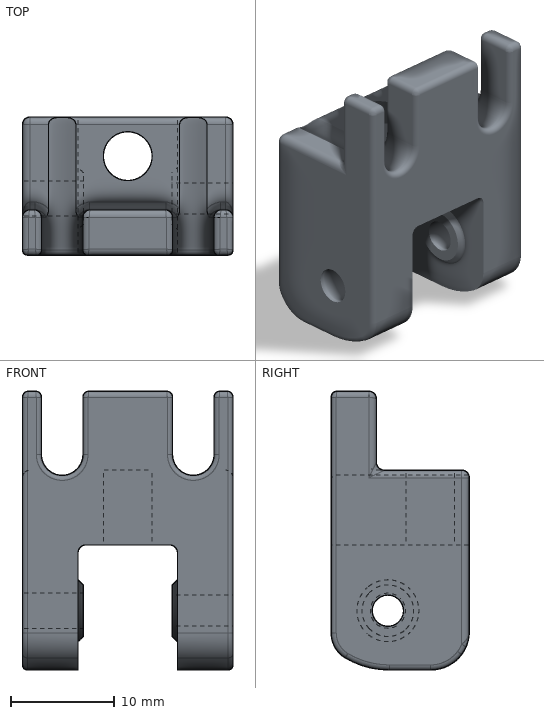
import cadquery as cq
import math

width = 20.4
depth = 13.4
height = 27.02

shelf_z = 19.37
plate_thickness = 4.4

back_foot_radius = 3.75
front_foot_top_z = 3.58
front_foot_radius = 2.8
front_sole_radius = 8.35

gap_width = 9.6
gap_top_z = 12.11
gap_corner_radius = 0.75

slot_offset = 6.35
slot_radius = 2.0
slot_center_z = 20.87

pivot_y = 5.5
pivot_z = 5.75
pivot_diameter_left = 3.4
pivot_diameter_right = 3.0
boss_base_diameter = 6.0
boss_height = 0.5

shelf_hole_diameter = 4.7
shelf_hole_y = 9.6

small_round = 0.5
top_round = 0.6
large_round = 0.75

overshoot = 1.0

half_width = width / 2
slot_positions = (-slot_offset, slot_offset)
gap_half = gap_width / 2


def point_at(center, radius, angle):
    """Point on a circle given as (y, z)."""
    return (center[0] + radius * math.cos(angle), center[1] + radius * math.sin(angle))


def foot_envelope():
    """Full-width envelope whose lower outline in YZ rounds the feet."""
    small_center_y = front_foot_radius
    sole_rise = front_sole_radius - front_foot_top_z
    center_gap = front_sole_radius - front_foot_radius
    sole_center_y = small_center_y + math.sqrt(center_gap**2 - sole_rise**2)

    small_center = (small_center_y, front_foot_top_z)
    sole_center = (sole_center_y, front_sole_radius)
    blend_angle = math.atan2(-sole_rise, small_center_y - sole_center_y)
    sole_mid_angle = (blend_angle - math.pi / 2) / 2
    foot_mid_angle = (blend_angle - math.pi) / 2
    blend = point_at(small_center, front_foot_radius, blend_angle)
    sole_mid = point_at(sole_center, front_sole_radius, sole_mid_angle)
    foot_mid = point_at(small_center, front_foot_radius, foot_mid_angle)

    back_center = (depth - back_foot_radius, back_foot_radius)
    back_mid = point_at(back_center, back_foot_radius, -math.pi / 4)

    return (
        cq.Workplane("YZ", origin=(-half_width, 0, 0))
        .moveTo(0, height)
        .lineTo(depth, height)
        .lineTo(depth, back_foot_radius)
        .threePointArc(back_mid, (depth - back_foot_radius, 0))
        .lineTo(sole_center_y, 0)
        .threePointArc(sole_mid, blend)
        .threePointArc(foot_mid, (0, front_foot_top_z))
        .close()
        .extrude(width)
    )


def plate_and_shelf():
    """Square-footed L-shaped block: front plate with the shelf block behind it."""
    return (
        cq.Workplane("YZ", origin=(-half_width, 0, 0))
        .polyline([
            (0, 0),
            (0, height),
            (plate_thickness, height),
            (plate_thickness, shelf_z),
            (depth, shelf_z),
            (depth, 0),
        ])
        .close()
        .extrude(width)
    )


def slot_cutter(x, y_start, y_end):
    """U-shaped cutter, round at the bottom and open at the top, along Y."""
    return (
        cq.Workplane("XZ", origin=(x, y_start, 0))
        .moveTo(-slot_radius, height + overshoot)
        .lineTo(-slot_radius, slot_center_z)
        .threePointArc((0, slot_center_z - slot_radius), (slot_radius, slot_center_z))
        .lineTo(slot_radius, height + overshoot)
        .close()
        .extrude(y_start - y_end)
    )


def cut_plate_slots(body):
    """Open the plate slots down to shelf level, leaving the shelf whole."""
    above_shelf = (
        cq.Workplane("XY", origin=(0, 0, shelf_z))
        .rect(width, 2 * depth)
        .extrude(height - shelf_z)
    )
    for x in slot_positions:
        body = body.cut(slot_cutter(x, -overshoot, depth).intersect(above_shelf))
    return body.clean()


def cut_full_slots(body):
    """Carry the slots below shelf level, grooving the shelf from front to back."""
    for x in slot_positions:
        body = body.cut(slot_cutter(x, -overshoot, depth + overshoot))
    return body


def edges_within(solid, x_range, y_range, z_range):
    """Edges of the solid lying wholly inside an axis-aligned box."""
    tolerance = 0.001
    found = []
    for edge in solid.val().Edges():
        box = edge.BoundingBox()
        inside_x = x_range[0] - tolerance < box.xmin and box.xmax < x_range[1] + tolerance
        inside_y = y_range[0] - tolerance < box.ymin and box.ymax < y_range[1] + tolerance
        inside_z = z_range[0] - tolerance < box.zmin and box.zmax < z_range[1] + tolerance
        if inside_x and inside_y and inside_z:
            found.append(edge)
    return found


def without(edges, excluded):
    """The listed edges that are not among the excluded ones."""
    return [edge for edge in edges if not any(edge.isSame(other) for other in excluded)]


def fillet_edges(body, edges, radius):
    """Round each listed edge once, even if it is listed several times."""
    unique = []
    for edge in edges:
        unique += without([edge], unique)
    return body.newObject([body.val().fillet(radius, unique)])


def round_back_edges(body):
    """Large rounds on the plate's back edges and on the shelf's outer edges."""
    full_x = (-half_width, half_width)
    plate_back = (plate_thickness, plate_thickness)
    shelf_level = (shelf_z, shelf_z)
    back_face = (depth, depth)

    shelf_root = edges_within(body, full_x, plate_back, shelf_level)
    edges = without(edges_within(body, full_x, plate_back, (shelf_z, height)), shelf_root)
    edges += edges_within(body, full_x, back_face, shelf_level)
    for side in (-half_width, half_width):
        edges += edges_within(body, (side, side), (plate_thickness, depth), shelf_level)
        edges += edges_within(body, (side, side), back_face, (0, shelf_z))
    return fillet_edges(body, edges, large_round)


def fill_shelf_root(body):
    """Concave fillet where the rounded back of the plate meets the shelf."""
    root_y = (plate_thickness - large_round, plate_thickness)
    edges = edges_within(body, (-half_width, half_width), root_y, (shelf_z, shelf_z))
    return fillet_edges(body, edges, large_round)


def round_front_edges(body):
    """Small rounds on the front sides, the feet's outer edges and the slots' front."""
    full_x = (-half_width, half_width)
    front_face = (0, 0)
    slot_bottom_z = slot_center_z - slot_radius
    edges = edges_within(body, full_x, front_face, (slot_bottom_z, height))
    for side in (-half_width, half_width):
        edges += edges_within(body, (side, side), (0, depth), (0, back_foot_radius))
        edges += edges_within(body, (side, side), front_face, (front_foot_top_z, height))
    return fillet_edges(body, edges, small_round)


def round_top_edges(body):
    """Rounds around the top faces of the plate's three tabs."""
    full_x = (-half_width, half_width)
    edges = edges_within(body, full_x, (0, plate_thickness), (height, height))
    return fillet_edges(body, edges, top_round)


def cut_gap(body):
    """Gap between the legs, open at the bottom and running front to back."""
    gap = (
        cq.Workplane("XY", origin=(0, depth / 2, -overshoot))
        .box(gap_width, depth + 2 * overshoot, gap_top_z + overshoot, centered=(True, True, False))
        .edges("|Y and >Z")
        .fillet(gap_corner_radius)
    )
    return body.cut(gap)


def pivot_cone(side):
    """Conical boss on the inner face of the leg on the given side (-1 or +1)."""
    base_radius = boss_base_diameter / 2
    return cq.Workplane(
        cq.Solid.makeCone(
            base_radius,
            base_radius - boss_height,
            boss_height,
            pnt=cq.Vector(side * gap_half, pivot_y, pivot_z),
            dir=cq.Vector(-side, 0, 0),
        )
    )


def pivot_cutter(side, diameter):
    """Cylinder through the leg and boss on the given side (-1 or +1)."""
    return cq.Workplane(
        cq.Solid.makeCylinder(
            diameter / 2,
            half_width + overshoot,
            pnt=cq.Vector(0, pivot_y, pivot_z),
            dir=cq.Vector(side, 0, 0),
        )
    )


def add_pivot(body):
    """Bosses and pivot holes; the hole in the left leg is wider."""
    for side, diameter in ((-1, pivot_diameter_left), (1, pivot_diameter_right)):
        body = body.union(pivot_cone(side)).cut(pivot_cutter(side, diameter))
    return body


def cut_shelf_hole(body):
    """Vertical hole from the shelf into the gap."""
    hole = (
        cq.Workplane("XY", origin=(0, shelf_hole_y, gap_top_z - overshoot))
        .circle(shelf_hole_diameter / 2)
        .extrude(shelf_z - gap_top_z + 2 * overshoot)
    )
    return body.cut(hole)


bracket = plate_and_shelf()
bracket = cut_plate_slots(bracket)
bracket = round_back_edges(bracket)
bracket = fill_shelf_root(bracket)
bracket = cut_full_slots(bracket)
bracket = bracket.intersect(foot_envelope())
bracket = round_top_edges(bracket)
bracket = round_front_edges(bracket)
bracket = cut_gap(bracket)
bracket = add_pivot(bracket)
bracket = cut_shelf_hole(bracket)

result = bracket